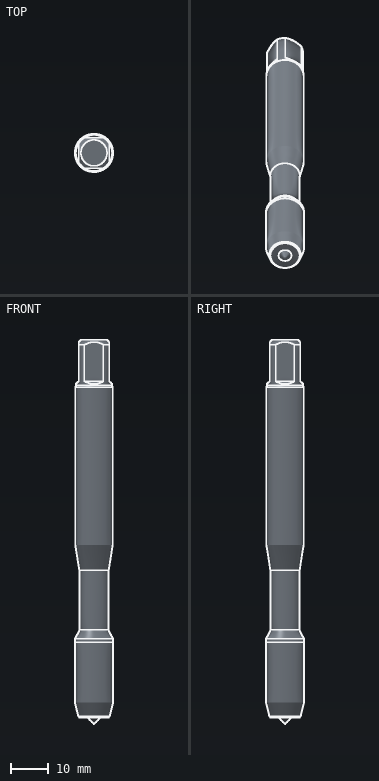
import cadquery as cq

TOTAL_LENGTH = 101.6
SHANK_DIAMETER = 10.0
THREAD_DIAMETER = 10.2
HEAD_DIAMETER = 9.6
COLLAR_DIAMETER = THREAD_DIAMETER
NECK_DIAMETER = 7.7
UPPER_FLARE_DIAMETER = 7.9
LOWER_FLARE_DIAMETER = 8.1

HEAD_ACROSS_FLATS = 8.1
HEAD_TOP_CHAMFER = 1.3
FLAT_LENGTH = 11.0
RUNOUT_HEIGHT = 0.7
HEAD_LENGTH = 12.1
SHANK_CHAMFER_HEIGHT = 0.4

SHANK_BOTTOM_Z = 47.4
UPPER_FLARE_Z = 41.0
NECK_TOP_Z = 40.7
NECK_BOTTOM_Z = 25.0
LOWER_FLARE_Z = 24.4
COLLAR_TOP_Z = 22.6
JOINT_Z = 21.7

LEAD_START_Z = 5.7
LEAD_DIAMETER = 8.3
END_CHAMFER = 0.3
TIP_HEIGHT = 1.7
TIP_DIAMETER = 2 * TIP_HEIGHT


def turned(stations):
    """Revolve (diameter, height) stations about Z into a solid."""
    profile = [(diameter / 2, height) for diameter, height in stations]
    axis_start = (0, stations[0][1])
    axis_end = (0, stations[-1][1])
    return (
        cq.Workplane("XZ")
        .polyline([axis_start, *profile, axis_end])
        .close()
        .revolve(360, (0, 0, 0), (0, 1, 0))
    )


def flats_cutter():
    """Material outside the square, with a sloped run-out below the flats."""
    flat_bottom = TOTAL_LENGTH - FLAT_LENGTH
    half_flats = HEAD_ACROSS_FLATS / 2
    outer = HEAD_DIAMETER / 2
    one_side = (
        cq.Workplane("XZ")
        .moveTo(half_flats, TOTAL_LENGTH)
        .lineTo(half_flats, flat_bottom)
        .lineTo(outer, flat_bottom - RUNOUT_HEIGHT)
        .lineTo(outer, TOTAL_LENGTH)
        .close()
        .extrude(SHANK_DIAMETER / 2, both=True)
    )
    cutter = one_side
    for quarter in range(1, 4):
        cutter = cutter.union(one_side.rotate((0, 0, 0), (0, 0, 1), 90 * quarter))
    return cutter


def make_shank():
    """Square head, shank, neck and collar."""
    head_bottom = TOTAL_LENGTH - HEAD_LENGTH
    blank = turned([
        (COLLAR_DIAMETER, JOINT_Z),
        (COLLAR_DIAMETER, COLLAR_TOP_Z),
        (LOWER_FLARE_DIAMETER, LOWER_FLARE_Z),
        (NECK_DIAMETER, NECK_BOTTOM_Z),
        (NECK_DIAMETER, NECK_TOP_Z),
        (UPPER_FLARE_DIAMETER, UPPER_FLARE_Z),
        (SHANK_DIAMETER, SHANK_BOTTOM_Z),
        (SHANK_DIAMETER, head_bottom - SHANK_CHAMFER_HEIGHT),
        (HEAD_DIAMETER, head_bottom),
        (HEAD_DIAMETER, TOTAL_LENGTH - HEAD_TOP_CHAMFER),
        (HEAD_DIAMETER - 2 * HEAD_TOP_CHAMFER, TOTAL_LENGTH),
    ])
    return blank.cut(flats_cutter())


def make_thread_section():
    """Plain thread envelope with a tapered lead, a chamfered end and a conical tip."""
    body = turned([
        (LEAD_DIAMETER - 2 * END_CHAMFER, TIP_HEIGHT),
        (LEAD_DIAMETER, TIP_HEIGHT + END_CHAMFER),
        (THREAD_DIAMETER, LEAD_START_Z),
        (THREAD_DIAMETER, JOINT_Z),
    ])
    tip = cq.Workplane(cq.Solid.makeCone(0, TIP_DIAMETER / 2, TIP_HEIGHT))
    return body.union(tip)


shank = make_shank()
thread_section = make_thread_section()
result = cq.Compound.makeCompound([shank.val(), thread_section.val()])